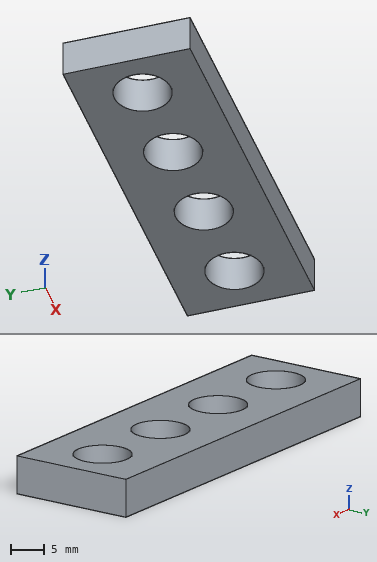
import cadquery as cq

plate_length = 60.96
plate_width = 20.07
plate_thickness = 6.0

hole_diameter = 8.89
hole_count = 4
hole_pitch = 14.986
first_hole_from_end = 7.874


def make_plate():
    """Flat bar centred in X and Y, with its underside at Z = 0."""
    return cq.Workplane("XY").box(
        plate_length, plate_width, plate_thickness, centered=(True, True, False)
    )


def drill_hole_row(plate):
    """Equally spaced through holes; the row sits slightly closer to the -X end."""
    first_hole_x = -plate_length / 2 + first_hole_from_end
    centers = [(first_hole_x + i * hole_pitch, 0) for i in range(hole_count)]
    return plate.faces(">Z").workplane(origin=(0, 0, 0)).pushPoints(centers).hole(hole_diameter)


result = drill_hole_row(make_plate())